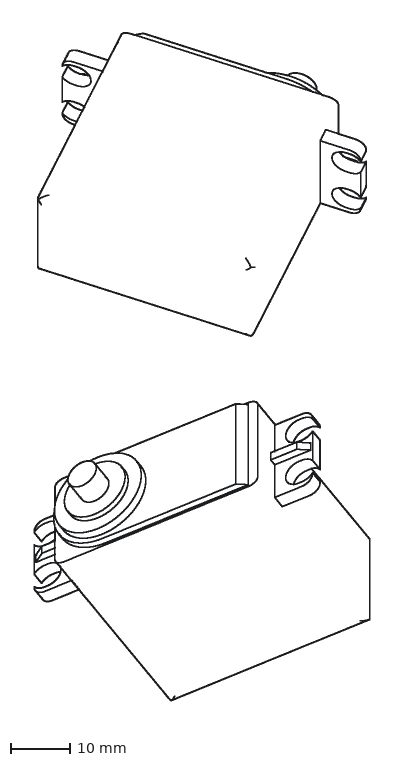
import cadquery as cq

case_length = 39.75
case_depth = 38.9
case_thickness = 20.0
corner_radius = 1.35
edge_drop = 1.35
side_edge_width = 1.85
bottom_edge_width = 1.55

ear_span = 54.6
ear_height = case_thickness - 2 * edge_drop
ear_thickness = 2.55
ear_bottom = 30.6
ear_corner_radius = 2.1
slot_diameter = 5.15
slot_center_spacing = 0.6
slot_inset = 2.4
slot_pitch = 9.95

rib_thickness = 1.7
rib_height = 1.35
rib_inset = 0.35
rib_slope_length = 2.0

lid_height = 1.2
lid_radius = 9.55
lid_inset = 1.85
lid_slope_length = 1.75
shaft_x = 9.9
collar_radius = 8.5
collar_height = 1.55
step_radius = 5.95
step_height = 1.05
shaft_radius = 2.8
shaft_height = 4.25

half_length = case_length / 2
half_thickness = case_thickness / 2
half_span = ear_span / 2
lid_top = case_depth + lid_height


def edge_waste(width, drop, length):
    """Sharp corner outside an elliptical rounding; the corner is at the origin, swept along +Z."""
    corner = cq.Workplane("XY").rect(width, drop, centered=False).extrude(length)
    ellipse = cq.Workplane("XY").center(width, drop).ellipse(width, drop).extrude(length)
    return corner.cut(ellipse)


def case_body():
    """Block with rounded edges everywhere except around the lid end."""
    body = (
        cq.Workplane("XY")
        .box(case_length, case_depth, case_thickness, centered=(True, False, True))
        .edges("|Z and <Y")
        .fillet(corner_radius)
    )
    side_waste = (
        edge_waste(side_edge_width, edge_drop, case_depth)
        .rotate((0, 0, 0), (1, 0, 0), -90)
        .translate((-half_length, 0, half_thickness))
    )
    bottom_waste = (
        edge_waste(edge_drop, bottom_edge_width, case_length)
        .rotate((0, 0, 0), (0, 1, 0), 90)
        .translate((-half_length, 0, half_thickness))
    )
    side_waste = side_waste.union(side_waste.mirror("YZ"))
    for waste in (side_waste, bottom_waste):
        body = body.cut(waste).cut(waste.mirror("XY"))
    return body


def ears():
    """Full-width plate with rounded ends and two open slots at each end."""
    plate = (
        cq.Workplane("XY")
        .box(ear_span, ear_thickness, ear_height, centered=(True, False, True))
        .edges("|Y")
        .fillet(ear_corner_radius)
    )
    slot_x = half_span - slot_inset
    slot_z = slot_pitch / 2
    slots = (
        cq.Workplane("XZ")
        .pushPoints([(x, z) for x in (-slot_x, slot_x) for z in (-slot_z, slot_z)])
        .slot2D(slot_diameter + slot_center_spacing, slot_diameter)
        .extrude(-ear_thickness)
    )
    return plate.cut(slots).translate((0, ear_bottom, 0))


def ribs():
    """One bar through the case whose sloped ends stand on the ears."""
    base = ear_bottom + ear_thickness
    foot = half_span - rib_inset
    crest = foot - rib_slope_length
    outline = [(-foot, base), (foot, base), (crest, base + rib_height), (-crest, base + rib_height)]
    return cq.Workplane("XY").polyline(outline).close().extrude(rib_thickness / 2, both=True)


def lid():
    """Plate with a sloped end at -X and a round end about the shaft."""
    foot = -half_length + lid_inset
    crest = foot + lid_slope_length
    outline = [(foot, case_depth), (shaft_x, case_depth), (shaft_x, lid_top), (crest, lid_top)]
    plate = cq.Workplane("XY").polyline(outline).close().extrude(lid_radius, both=True)
    return plate.union(disc(lid_radius, case_depth, lid_height))


def disc(radius, start, height):
    """Cylinder on the shaft axis, from start towards +Y."""
    return (
        cq.Workplane("XZ", origin=(shaft_x, start, 0))
        .circle(radius)
        .extrude(-height)
    )


def output_shaft():
    """Collar, smaller step and shaft stacked on the lid."""
    step_start = lid_top + collar_height
    shaft_start = step_start + step_height
    collar = disc(collar_radius, lid_top, collar_height)
    step = disc(step_radius, step_start, step_height)
    return collar.union(step).union(disc(shaft_radius, shaft_start, shaft_height))


result = case_body().union(ears()).union(ribs()).union(lid()).union(output_shaft())